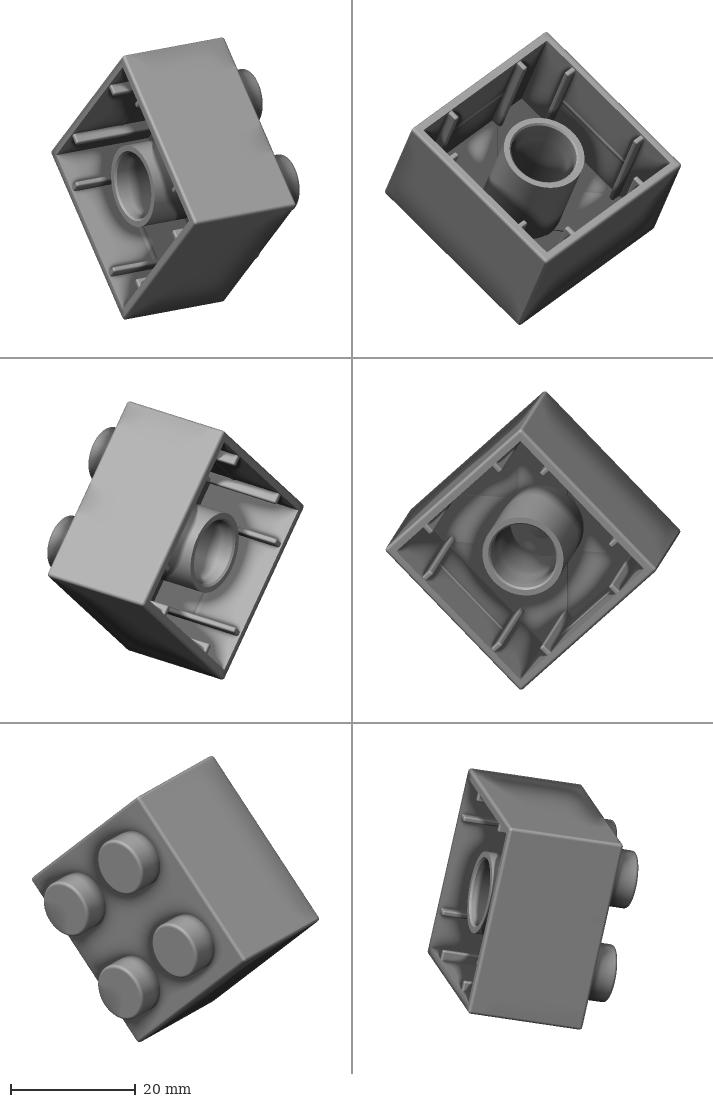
import cadquery as cq
import math

side = 31.7
body_height = 19.15
edge_radius = 0.5
turn_angle = 45

wall = 1.45
cavity_depth = 17.3
cavity_half = side / 2 - wall

stud_pitch = 16.0
stud_diameter = 9.4
stud_height = 4.55

tube_outer_radius = 6.65
tube_inner_radius = 5.4
tube_mouth_chamfer = 0.3
tube_setback = 1.9

pin_radius = 2.75
pin_height = 0.5
dome_radius = 2.25
dome_height = 0.25

rib_width = 0.9
rib_reach = 1.7
rib_setback = 0.3
rib_round = 0.3
rib_offset = stud_pitch / 2

recess_depth = 0.25
recess_offset = 4.03

ridge_centre = 9.4
ridge_base = 1.1
ridge_crest = 0.2
ridge_height = 0.13

OVERLAP = 0.3
SIGNS = (-1, 1)
QUARTERS = (0, 90, 180, 270)


def plane_at(y):
    """Workplane across the brick at height y, facing +Y, with local x along X and y along -Z."""
    return cq.Workplane(cq.Plane(origin=(0, y, 0), xDir=(1, 0, 0), normal=(0, 1, 0)))


def turned(shape, angle):
    return shape.rotate((0, 0, 0), (0, 1, 0), angle)


def make_body():
    block = plane_at(0).rect(side, side).extrude(body_height).edges().fillet(edge_radius)
    cavity = plane_at(0).rect(2 * cavity_half, 2 * cavity_half).extrude(cavity_depth)
    return block.cut(cavity)


def make_recess():
    """Right triangle on the +X side, with its corner towards the brick's centre."""
    corner = recess_offset * math.sqrt(2)
    half_width = cavity_half - corner
    outline = [(corner, 0), (cavity_half, half_width), (cavity_half, -half_width)]
    return plane_at(cavity_depth).polyline(outline).close().extrude(recess_depth)


def make_studs():
    return (
        plane_at(body_height)
        .rect(stud_pitch, stud_pitch, forConstruction=True)
        .vertices()
        .circle(stud_diameter / 2)
        .extrude(stud_height)
        .faces(">Y")
        .edges()
        .fillet(edge_radius)
    )


def make_tube():
    length = cavity_depth + recess_depth - tube_setback
    outer = plane_at(tube_setback).circle(tube_outer_radius).extrude(length)
    bore = plane_at(tube_setback).circle(tube_inner_radius).extrude(cavity_depth - tube_setback)
    tube = outer.cut(bore)
    bore_edge = tube.faces("<Y").edges(cq.selectors.RadiusNthSelector(0))
    return bore_edge.chamfer(tube_mouth_chamfer)


def make_pin():
    base_y = cavity_depth
    face_y = base_y - pin_height
    tip_y = face_y - dome_height
    sphere_radius = (dome_radius**2 + dome_height**2) / (2 * dome_height)
    half_angle = math.asin(dome_radius / sphere_radius) / 2
    arc_middle = (
        sphere_radius * math.sin(half_angle),
        tip_y + sphere_radius * (1 - math.cos(half_angle)),
    )
    return (
        cq.Workplane("XY")
        .moveTo(0, base_y + OVERLAP)
        .lineTo(pin_radius, base_y + OVERLAP)
        .lineTo(pin_radius, face_y)
        .lineTo(dome_radius, face_y)
        .threePointArc(arc_middle, (0, tip_y))
        .close()
        .revolve(360, (0, 0, 0), (0, 1, 0))
    )


def make_ribs():
    """The pair of round-edged ribs on the +X wall."""
    length = cavity_depth + recess_depth + OVERLAP - rib_setback
    rib = (
        plane_at(rib_setback)
        .center(cavity_half - rib_reach / 2 + OVERLAP / 2, 0)
        .rect(rib_reach + OVERLAP, rib_width)
        .extrude(length)
        .edges("(<X or <Y) and (not >X) and (not >Y)")
        .fillet(rib_round)
    )
    return [rib.translate((0, 0, sign * rib_offset)) for sign in SIGNS]


def make_ridge():
    """Trapezoidal ridge on the +X wall, running between its two ribs."""
    foot_x = cavity_half + OVERLAP
    crest_x = cavity_half - ridge_height
    outline = [
        (foot_x, ridge_centre - ridge_base / 2),
        (cavity_half, ridge_centre - ridge_base / 2),
        (crest_x, ridge_centre - ridge_crest / 2),
        (crest_x, ridge_centre + ridge_crest / 2),
        (cavity_half, ridge_centre + ridge_base / 2),
        (foot_x, ridge_centre + ridge_base / 2),
    ]
    return cq.Workplane("XY").polyline(outline).close().extrude(rib_offset, both=True)


brick = make_body()
for quarter in QUARTERS:
    brick = brick.cut(turned(make_recess(), quarter))
for quarter in QUARTERS:
    for feature in [make_ridge(), *make_ribs()]:
        brick = brick.union(turned(feature, quarter))
brick = brick.union(make_studs()).union(make_tube()).union(make_pin())

result = turned(brick, turn_angle)